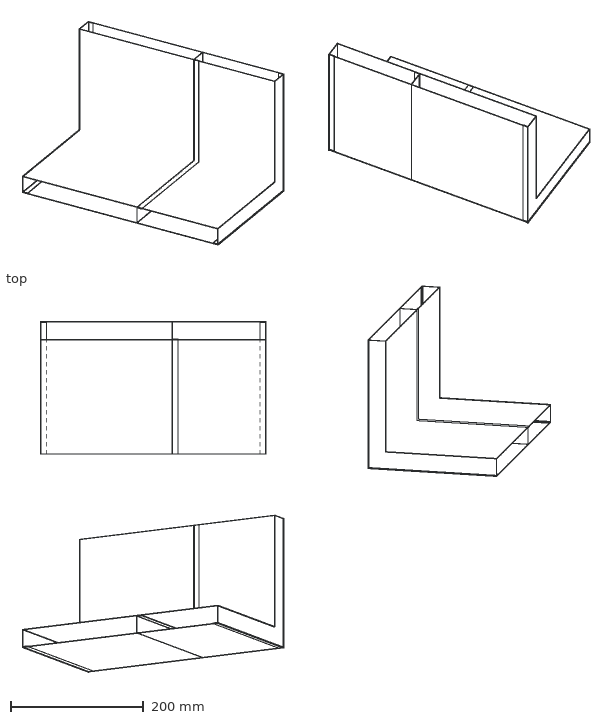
import cadquery as cq

length = 340.0
leg_reach = 200.0
leg_depth = 28.0

sheet = 0.75
flange_width = 9.0
divider_start = 198.5
outer_bend = 2.0
crease_bend = 0.7

outer_skin_inside = sheet
inner_skin_inside = leg_depth - sheet


def bend_radius(offset):
    """Radius of the concentric bend at an offset from the outer faces."""
    if offset < leg_depth / 2:
        return outer_bend - offset
    return crease_bend + leg_depth - offset


def l_section(x_start, width, near, far):
    """L-shaped prism whose legs lie between two offsets from the outer faces."""
    return (
        cq.Workplane("YZ", origin=(x_start, 0, 0))
        .moveTo(0, near)
        .lineTo(leg_reach - near, near)
        .lineTo(leg_reach - near, leg_reach)
        .lineTo(leg_reach - far, leg_reach)
        .lineTo(leg_reach - far, far)
        .lineTo(0, far)
        .close()
        .extrude(width)
    )


def bent_section(x_start, width, near, far):
    """L-shaped prism with both corners rounded to follow the bent skins."""
    prism = l_section(x_start, width, near, far)
    for offset in (near, far):
        corner = (x_start + width / 2, leg_reach - offset, offset)
        prism = prism.edges(cq.NearestToPointSelector(corner)).fillet(bend_radius(offset))
    return prism


def make_skin(near):
    """Angle of bent sheet that spans between the two end caps."""
    return bent_section(sheet, length - 2 * sheet, near, near + sheet)


def make_end_cap(plate_start, flange_start):
    """Plate closing the end, with a flange lying against the outer skin."""
    plate = l_section(plate_start, sheet, 0, leg_depth)
    flange = bent_section(flange_start, flange_width, outer_skin_inside, outer_skin_inside + sheet)
    return plate.union(flange)


def make_divider():
    """Plate between the skins, with a flange lying against the inner skin."""
    plate = bent_section(divider_start, sheet, outer_skin_inside, inner_skin_inside)
    flange = bent_section(divider_start, flange_width, inner_skin_inside - sheet, inner_skin_inside)
    return plate.union(flange)


outer_skin = make_skin(0)
inner_skin = make_skin(inner_skin_inside)
left_cap = make_end_cap(0, 0)
right_cap = make_end_cap(length - sheet, length - flange_width)
divider = make_divider()

result = cq.Compound.makeCompound(
    [outer_skin.val(), inner_skin.val(), left_cap.val(), right_cap.val(), divider.val()]
)